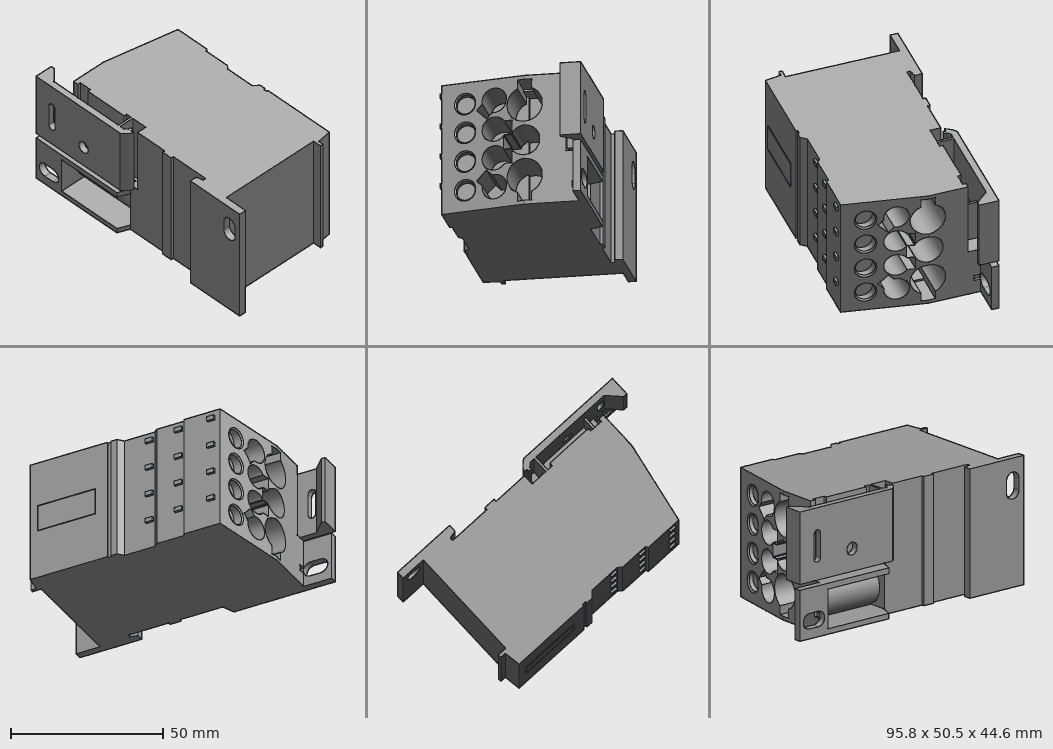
import cadquery as cq

LENGTH = 95.8
WIDTH = 44.6
BODY_DEPTH = 49.6
MID_Z = WIDTH / 2

BODY_LEFT = 10.4
BODY_RIGHT = 86.8
SLOPE_FOOT_Y = 20.9
SLOPE_TOP_X = 15.9
RAIL_FACE_Y = 4.4
STEP_Y = 48.8
VALLEY_Y = 47.6
TAB_LEFT = 72.6
TAB_THICK = 2.7

CLIP_BOTTOM_Z = 19.6
CLIP_THICK = 2.4
CLIP_LIP_Y = 7.0
CLIP_RECESS_RIGHT = 43.3
PLATE_WIDTH = 17.6
PLATE_THICK = 2.6
PLATE_TIP_X = 38.0
FOOT_WALL_X = 39.9
PLATE_SLANT_X = PLATE_TIP_X + (FOOT_WALL_X - PLATE_TIP_X) * PLATE_THICK / RAIL_FACE_Y
CLIP_SLOT = (7.5, 31.4, 11.1, 2.8)
PLATE_SLOT = (6.0, 6.1, 9.1, 5.4)
TAB_SLOT = (91.0, 35.2, 9.3, 5.4)
RELIEF_DEPTH = 1.15
RELIEF_LEFT = 12.5
RELIEF_WIDTH = 4.7
END_RELIEF_LEFT = 34.3
RIB_LEFT = 14.1
RIB_TOP_Z = 34.5
END_RIB_LEFT = 36.3
RIB_THICK = 0.9
PIN_X = 22.3
PIN_Z = 27.5
PIN_DIAMETER = 4.4

WINDOW_LEFT = 12.1
WINDOW_BOTTOM = 1.9
WINDOW_HEIGHT = 13.7
BARREL_DIAMETER = 15.0
BARREL_AXIS_Y = CLIP_LIP_Y + BARREL_DIAMETER / 2
NICK_LENGTH = 0.9
NICK_HEIGHT = 1.3
NOTCH_DEPTH = 1.0
NOTCH_TOP_Y = 5.0
NOTCH_BOTTOM_Z = 5.2
NOTCH_WIDTH = 2.0

ENTRY_PITCH = 10.0
SCREW_ROW_Y = 41.5
SCREW_DIAMETER = 6.5
SCREW_MOUTH_DIAMETER = 7.5
SCREW_MOUTH_DEPTH = 0.6
SCREW_DEPTH = 2.7
SMALL_ROW_Y = 31.3
SMALL_DIAMETER = 8.4
SMALL_FLOOR_X = 28.7
KEY_WIDTH = 4.8
SMALL_KEY_REACH = 6.2
LARGE_DIAMETER = 12.0
LARGE_OFFSET_Z = 12.5
LARGE_KEY_REACH = 8.5
LARGE_KEY_LIP = 0.7
LIP_FLOOR_X = 21.1
MIDDLE_DIAMETER = 10.25
MIDDLE_KEY_REACH = 7.2
LARGE_FLOOR_X = 28.7
LEDGE_FLOOR_X = 26.8
LEDGE_Y = 22.5

MARK_ROWS = ((17.8, BODY_DEPTH), (30.5, STEP_Y), (42.1, VALLEY_Y))
POLES = 4
FIRST_MARK_Z = 10.6
MARK_PITCH = 10.3
MARK_LENGTH = 2.7
MARK_WIDTH = 1.5
MARK_HEIGHT = 0.9
LABEL_LEFT = 62.75
LABEL_RIGHT = 84.3
LABEL_BOTTOM_Z = 18.1
LABEL_TOP_Z = 27.8
LABEL_HEIGHT = 0.3
OVERLAP = 1.0


def block(x0, x1, y0, y1, z0, z1):
    """Box between two opposite corners."""
    return cq.Workplane("XY").box(x1 - x0, y1 - y0, z1 - z0, centered=False).translate((x0, y0, z0))


def prism(points, z0, z1):
    """XY outline extruded from z0 to z1."""
    return cq.Workplane("XY").workplane(offset=z0).polyline(points).close().extrude(z1 - z0)


def slot_through_foot(x, z, length, diameter, angle, depth):
    """Round-ended slot cutter that starts at the mounting plane."""
    return cq.Workplane("XZ", origin=(x, 0, z)).slot2D(length, diameter, angle).extrude(-depth)


def x_cylinder(x0, x1, y, z, diameter):
    """Cylinder along X."""
    return cq.Workplane("YZ", origin=(x0, y, z)).circle(diameter / 2).extrude(x1 - x0)


def key_slot(y, z, reach, angle, floor_x):
    """Square slot running out from a hole centre; the angle turns it from +Y toward +Z."""
    slot = cq.Workplane("XY").box(floor_x, reach, KEY_WIDTH, centered=(False, False, True))
    return slot.rotate((0, 0, 0), (1, 0, 0), angle).translate((0, y, z))


def keyed_hole(y, z, diameter, reach, angle, floor_x):
    """Round entry from the left face with a square key slot."""
    return x_cylinder(0, floor_x, y, z, diameter).union(key_slot(y, z, reach, angle, floor_x))


def make_housing():
    outline = [
        (BODY_LEFT, PLATE_THICK),
        (BODY_LEFT, SLOPE_FOOT_Y),
        (SLOPE_TOP_X, BODY_DEPTH),
        (29.5, BODY_DEPTH), (30.0, STEP_Y),
        (40.1, STEP_Y), (41.5, VALLEY_Y),
        (52.9, VALLEY_Y), (54.6, BODY_DEPTH),
        (56.9, BODY_DEPTH), (56.9, 49.05), (58.2, 49.05), (58.2, BODY_DEPTH),
        (87.2, BODY_DEPTH), (88.0, 43.9),
        (90.05, 43.9), (90.05, 42.7), (BODY_RIGHT, 42.7),
        (BODY_RIGHT, TAB_THICK), (LENGTH, TAB_THICK),
        (LENGTH, 0), (TAB_LEFT, 0), (TAB_LEFT, TAB_THICK),
        (75.3, 3.3), (75.3, RAIL_FACE_Y),
        (60.1, RAIL_FACE_Y), (60.1, 3.45), (55.9, 3.45), (55.9, RAIL_FACE_Y),
        (FOOT_WALL_X, RAIL_FACE_Y), (PLATE_SLANT_X, PLATE_THICK),
    ]
    return prism(outline, 0, WIDTH)


def make_clip_recess():
    """Open space behind the clip, with two deeper reliefs near its ends."""
    top = CLIP_LIP_Y + RELIEF_DEPTH
    recess = block(0, FOOT_WALL_X, 0, CLIP_LIP_Y, PLATE_WIDTH, WIDTH)
    recess = recess.union(block(RELIEF_LEFT, RELIEF_LEFT + RELIEF_WIDTH, 0, top, CLIP_BOTTOM_Z, WIDTH))
    return recess.union(block(END_RELIEF_LEFT, CLIP_RECESS_RIGHT, 0, top, CLIP_BOTTOM_Z, WIDTH))


def make_clip():
    upper_edge = [
        (0, CLIP_LIP_Y), (1.4, CLIP_LIP_Y), (5.8, CLIP_THICK),
        (39.0, CLIP_THICK), (40.0, 3.45), (40.0, RAIL_FACE_Y),
        (41.2, RAIL_FACE_Y), (41.2, 3.45), (42.4, 3.45),
    ]
    clip = (cq.Workplane("XY").workplane(offset=CLIP_BOTTOM_Z).moveTo(0, 0)
            .polyline(upper_edge, includeCurrent=True)
            .threePointArc((41.4, 1.6), (39.6, 0)).close().extrude(WIDTH - CLIP_BOTTOM_Z))
    clip = clip.cut(slot_through_foot(*CLIP_SLOT, 90, CLIP_LIP_Y))
    pin_hole = cq.Workplane("XZ", origin=(PIN_X, 0, PIN_Z)).circle(PIN_DIAMETER / 2).extrude(-CLIP_THICK)
    return clip.cut(pin_hole)


def make_clip_rib(x, top_z):
    """Web that ties the clip to the housing."""
    root_y = CLIP_LIP_Y + RELIEF_DEPTH + OVERLAP
    return block(x, x + RIB_THICK, CLIP_THICK - OVERLAP, root_y, CLIP_BOTTOM_Z, top_z)


def make_fixed_plate():
    outline = [(0, 0), (0, PLATE_THICK), (PLATE_SLANT_X, PLATE_THICK), (PLATE_TIP_X, 0)]
    plate = prism(outline, 0, PLATE_WIDTH)
    return plate.cut(slot_through_foot(*PLATE_SLOT, 0, PLATE_THICK))


def make_spring_chamber():
    """Window cavity, less the barrel left standing in it, and a notch in the left face."""
    top = WINDOW_BOTTOM + WINDOW_HEIGHT
    chamber = block(WINDOW_LEFT, FOOT_WALL_X, 0, BARREL_AXIS_Y, WINDOW_BOTTOM, top)
    barrel = x_cylinder(WINDOW_LEFT, FOOT_WALL_X, BARREL_AXIS_Y,
                        WINDOW_BOTTOM + WINDOW_HEIGHT / 2, BARREL_DIAMETER)
    for z in (WINDOW_BOTTOM, top - NICK_HEIGHT):
        nick = block(FOOT_WALL_X - NICK_LENGTH, FOOT_WALL_X, 0, BARREL_AXIS_Y, z, z + NICK_HEIGHT)
        barrel = barrel.cut(nick)
    side_notch = block(BODY_LEFT, BODY_LEFT + NOTCH_DEPTH, PLATE_THICK, NOTCH_TOP_Y,
                       NOTCH_BOTTOM_Z, NOTCH_BOTTOM_Z + NOTCH_WIDTH)
    return chamber.cut(barrel).union(side_notch)


def make_screw_hole(z):
    """Blind bore along X, with a conical mouth square to the sloped face."""
    run = SLOPE_TOP_X - BODY_LEFT
    rise = BODY_DEPTH - SLOPE_FOOT_Y
    face_x = BODY_LEFT + run / rise * (SCREW_ROW_Y - SLOPE_FOOT_Y)
    mouth = cq.Workplane(obj=cq.Solid.makeCone(
        SCREW_MOUTH_DIAMETER / 2, SCREW_DIAMETER / 2, SCREW_MOUTH_DEPTH,
        pnt=cq.Vector(face_x, SCREW_ROW_Y, z), dir=cq.Vector(rise, -run, 0)))
    bore_y = SCREW_ROW_Y - SCREW_MOUTH_DEPTH * run / rise
    return x_cylinder(0, face_x + SCREW_DEPTH, bore_y, z, SCREW_DIAMETER).union(mouth)


def cut_cable_entries(housing):
    for side in (-1, 1):
        inner_z = MID_Z + side * ENTRY_PITCH / 2
        outer_z = MID_Z + side * ENTRY_PITCH * 3 / 2
        for z in (inner_z, outer_z):
            housing = housing.cut(make_screw_hole(z))
        for z, angle in ((inner_z, 180), (outer_z, -45 * side)):
            housing = housing.cut(
                keyed_hole(SMALL_ROW_Y, z, SMALL_DIAMETER, SMALL_KEY_REACH, angle, SMALL_FLOOR_X))

    large = keyed_hole(SLOPE_FOOT_Y, MID_Z, MIDDLE_DIAMETER, MIDDLE_KEY_REACH, 0, LARGE_FLOOR_X)
    for side in (-1, 1):
        z = MID_Z + side * LARGE_OFFSET_Z
        bore_reach = LARGE_KEY_REACH - LARGE_KEY_LIP
        large = large.union(
            keyed_hole(SLOPE_FOOT_Y, z, LARGE_DIAMETER, bore_reach, 90 * side, LARGE_FLOOR_X))
        large = large.union(key_slot(SLOPE_FOOT_Y, z, LARGE_KEY_REACH, 90 * side, LIP_FLOOR_X))
    ledge = block(LEDGE_FLOOR_X, LARGE_FLOOR_X, LEDGE_Y, SMALL_ROW_Y, 0, WIDTH)
    return housing.cut(large.cut(ledge))


def make_front_marks():
    """Raised bars at each pole and the label pad on the +Y face."""
    marks = block(LABEL_LEFT, LABEL_RIGHT, BODY_DEPTH - OVERLAP, BODY_DEPTH + LABEL_HEIGHT,
                  LABEL_BOTTOM_Z, LABEL_TOP_Z)
    for x, face_y in MARK_ROWS:
        for pole in range(POLES):
            z = FIRST_MARK_Z + pole * MARK_PITCH
            marks = marks.union(block(x, x + MARK_LENGTH, face_y - OVERLAP, face_y + MARK_HEIGHT,
                                      z - MARK_WIDTH / 2, z + MARK_WIDTH / 2))
    return marks


housing = make_housing().cut(make_clip_recess())
housing = housing.union(make_fixed_plate()).cut(make_spring_chamber())
housing = cut_cable_entries(housing)
housing = housing.cut(slot_through_foot(*TAB_SLOT, 90, TAB_THICK))
result = housing.union(make_clip()).union(make_front_marks())
result = result.union(make_clip_rib(RIB_LEFT, RIB_TOP_Z)).union(make_clip_rib(END_RIB_LEFT, WIDTH))